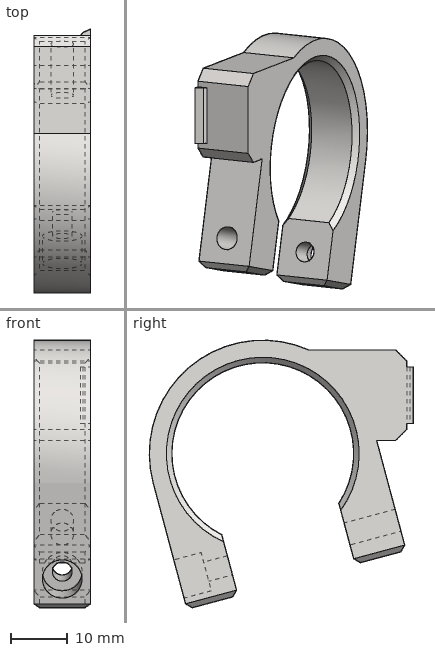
import cadquery as cq

width = 10.0
outer_radius = 20.0
bore_radius = 16.0
bore_chamfer = 1.0

leg_tilt = 15
leg_length = 23.0
leg_inner_offset = 10.65
leg_thickness = outer_radius - leg_inner_offset
leg_end_chamfer = 1.0

screw_distance = 17.5
clearance_diameter = 3.5
threaded_diameter = 4.0
counterbore_diameter = 7.0
counterbore_depth = 5.0

block_end = 25.35
block_top = 18.3
block_height = 16.0
block_chamfer = 2.0
block_middle = block_top - block_height / 2

key_length = 10.0
key_height = 26.5 - block_end
key_width = 1.8
knee_width = 1.35
knee_height = 0.5


def cylinder_x(radius, length):
    """Cylinder on the bore axis, centred on the YZ plane."""
    return cq.Workplane("YZ").circle(radius).extrude(length / 2, both=True)


def tilt(shape):
    """Turn a shape from the upright leg frame to the leg tilt."""
    return shape.rotate((0, 0, 0), (1, 0, 0), leg_tilt)


def make_leg(side):
    """Upright leg on the side of the bore given by the sign of Y."""
    leg_middle = side * (leg_inner_offset + leg_thickness / 2)
    return (
        cq.Workplane("XY")
        .box(width, leg_thickness, leg_length, centered=(True, True, False))
        .translate((0, leg_middle, -leg_length))
        .faces("<Z").edges().chamfer(leg_end_chamfer)
    )


def make_gap():
    """Opening between the legs."""
    return cq.Workplane("XY").box(
        width, 2 * leg_inner_offset, 2 * outer_radius, centered=(True, True, False)
    ).translate((0, 0, -2 * outer_radius))


def cylinder_y(diameter, start, end):
    """Cylinder on the screw axis between two Y places, in the leg frame."""
    return (
        cq.Workplane("XZ", origin=(0, start, -screw_distance))
        .circle(diameter / 2).extrude(start - end)
    )


def make_screw_holes():
    """Counterbored hole in the -Y leg and plain hole through the +Y leg."""
    clearance = cylinder_y(clearance_diameter, -outer_radius, 0)
    counterbore = cylinder_y(counterbore_diameter, -outer_radius, counterbore_depth - outer_radius)
    threaded = cylinder_y(threaded_diameter, 0, outer_radius)
    return clearance.union(counterbore).union(threaded)


def make_block():
    """Block reaching from the bore axis to the chamfered end face."""
    return (
        cq.Workplane("XY")
        .box(width, block_end, block_height)
        .translate((0, block_end / 2, block_middle))
        .faces(">Y").edges("|X").chamfer(block_chamfer)
    )


def make_key():
    """Vertical key whose two slopes rise from the end face to the +X side."""
    side = width / 2
    return (
        cq.Workplane("XY", origin=(0, 0, block_middle - key_length / 2))
        .moveTo(side, block_end)
        .lineTo(side, block_end + key_height)
        .lineTo(side - knee_width, block_end + knee_height)
        .lineTo(side - key_width, block_end)
        .close()
        .extrude(key_length)
    )


def make_bore():
    """Bore with a chamfer at each mouth."""
    mouth_radius = bore_radius + bore_chamfer
    half_width = width / 2
    profile = [
        (-half_width, 0),
        (-half_width, mouth_radius),
        (bore_chamfer - half_width, bore_radius),
        (half_width - bore_chamfer, bore_radius),
        (half_width, mouth_radius),
        (half_width, 0),
    ]
    return cq.Workplane("XY").polyline(profile).close().revolve(360, (0, 0), (1, 0))


band = cylinder_x(outer_radius, width).cut(tilt(make_gap()))
legs = tilt(make_leg(-1).union(make_leg(1)))
result = (
    band.union(legs)
    .union(make_block())
    .cut(make_bore())
    .cut(tilt(make_screw_holes()))
    .union(make_key())
)